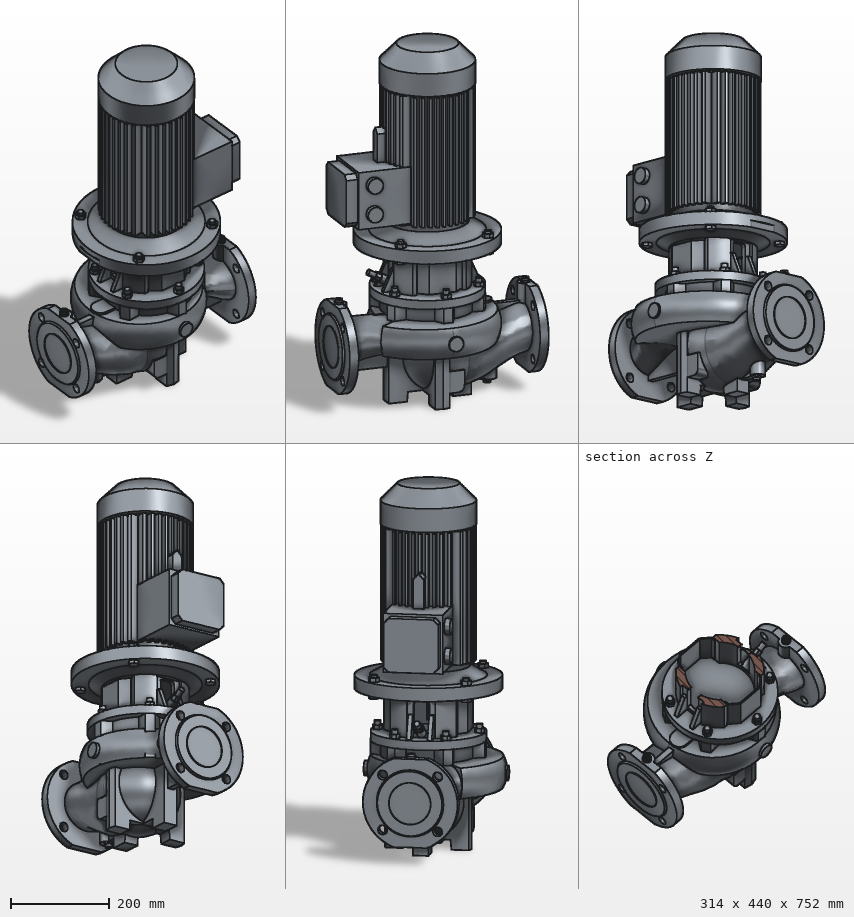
import cadquery as cq
import math


pipe_z = 130.0
volute_bottom_z = 128.0
volute_top_z = 191.5
volute_z = (volute_bottom_z + volute_top_z) / 2
lantern_bottom_z = 223.0
base_top_z = 241.5
lantern_neck_z = 318.0
disc_bottom_z = 329.5
disc_top_z = 357.0
motor_cone_top_z = 377.0
fin_bottom_z = 389.5
fin_top_z = 664.5
cover_bottom_z = 668.5
cover_edge_z = 717.0
total_height = 752.0

suction_face_y = -230.0
discharge_face_y = 210.0
flange_radius = 97.5
flange_half_flat = 91.0
flange_thickness = 19.0
raised_face_height = 4.0
flange_depth = flange_thickness + raised_face_height
raised_face_base_radius = 69.0
raised_face_tip_radius = 66.5
bore_radius = 43.0
bore_depth = 2.0
flange_bolt_circle_radius = 80.0
flange_hole_radius = 9.5
vent_boss_radius = 15.0
vent_boss_inset = 19.0
vent_plug_inset = 17.5

plug_collar_radius = 9.0
plug_collar_height = 4.0
plug_head_radius = 7.5
plug_height = 9.0
plug_socket_radius = 4.0

volute_bulge = 8.0
volute_sectors = [
    (-10.0, -10.0, 136.0, -90.0, 180.0),
    (-10.0, 5.0, 151.0, -180.0, 90.0),
    (5.0, 5.0, 166.0, 127.0, 53.0),
]
side_plug_radius = 15.5
side_plug_left_x = -164.0
side_plug_right_x = 131.0
side_plug_length = 30.0
neck_radius = 97.0
base_radius = 117.5
lug_width = 20.0
lug_root_width = 42.0
lug_root_x = 95.0
stud_count = 6
stud_circle_radius = 105.0
tongue_width = 40.0
tongue_end_y = -138.0
tongue_thickness = 4.5

bowl_radius = 86.0
bowl_y = -25.0
bowl_z = 98.5
bowl_join_y = -60.0
bowl_join_radius = math.sqrt(bowl_radius**2 - (bowl_join_y - bowl_y) ** 2)
suction_sections = [
    (0.0, bowl_join_y, bowl_z, bowl_join_radius, bowl_join_radius),
    (0.0, -100.0, 97.0, 73.0, 67.0),
    (0.0, -145.0, 109.0, 65.0, 57.0),
    (0.0, -180.0, 123.0, 60.0, 54.0),
    (0.0, suction_face_y + flange_depth, 128.0, 55.0, 52.0),
]
discharge_sections = [
    (-45.0, 75.0, volute_z, 95.0, 31.0),
    (-30.0, 120.0, 156.0, 80.0, 35.0),
    (-8.0, 155.0, 146.0, 64.0, 42.0),
    (0.0, discharge_face_y - flange_depth, 134.5, 56.0, 48.0),
]
rib_thickness = 13.0
suction_rib_top_z = 184.0
discharge_web_bottom_z = 76.0
discharge_web_end_y = 60.0

foot_reach = 89.5
foot_width = 31.5
foot_point = 4.0
tunnel_half_width = 50.0
tunnel_top_half_width = 48.0
tunnel_height = 20.5
pad_bottom_z = 31.0
pad_top_z = 77.0
pad_end_y = -47.5
pad_fillet = 13.0
drain_boss_y = -133.5
drain_boss_radius = 15.5
drain_boss_bottom_z = 26.5
drain_plug_y = -129.5
drain_web_start_y = -80.0

barrel_radius = 89.5
barrel_inner_radius = 70.0
barrel_half_width = 68.0
side_window_half_width = 49.0
front_recess_half_width = 29.5
front_recess_y = 78.0
front_window_half_width = 16.5
front_window_bottom_z = 250.0
front_window_top_z = 315.0
front_window_corner = 6.0
disc_radius = 150.0
disc_flat_half_width = 31.0
disc_flat_top_z = 343.5
lower_cone_radius = 115.0
gusset_inner_x = 17.0
gusset_thickness = 9.0
gusset_top_z = 289.0
gusset_foot_y = 106.0
gusset_top_y = 84.5
nut_width = 20.0
nut_height = 8.5
stud_radius = 6.3
stud_top_z = 259.0
flange_screw_circle_radius = 134.0
flange_nut_width = 22.0
flange_screw_height = 13.5
lower_nut_height = 7.0

guard_outer_x = 86.5
guard_flat_half_width = 29.0
guard_bend_x = 69.5
guard_tail_x = 60.0
guard_thickness = 3.0
guard_bottom_z = 245.5
guard_top_z = 314.0

valve_start_y = 72.0
valve_start_z = 248.0
valve_angle = 29.0
valve_body_radius = 9.5
valve_body_length = 36.0
valve_hex_width = 17.0
valve_hex_length = 12.0
valve_tip_radius = 6.0
valve_tip_length = 17.0

motor_core_radius = 84.5
motor_cone_radius = 119.0
fin_radius = 97.0
fin_pitch = 14.2
fin_thickness = 5.5
fins_each_side = 4
cover_radius = 97.5
cover_top_radius = 63.0
lug_half_width = 11.0
lug_end_y = 113.0
lug_ridge_z = 585.5
lug_eaves_z = 574.0

box_half_width = 61.0
box_seat_y = math.sqrt(motor_core_radius**2 - box_half_width**2)
box_end_y = 173.0
box_bottom_z = 392.5
box_top_z = 513.5
lid_half_width = 56.0
lid_end_y = 197.5
lid_bottom_z = 397.0
lid_top_z = 508.0
lid_chamfer = 10.0
gland_radius = 16.3
gland_length = 11.5
gland_y = 140.0
gland_heights = (423.5, 484.5)


def box(x0, x1, y0, y1, z0, z1):
    return cq.Workplane("XY").box(x1 - x0, y1 - y0, z1 - z0, centered=False).translate((x0, y0, z0))


def upright(radius, z0, z1, x=0.0, y=0.0):
    """Cylinder parallel to Z."""
    return cq.Workplane("XY", origin=(x, y, z0)).circle(radius).extrude(z1 - z0)


def hexagon(width, z0, z1, x, y):
    return cq.Workplane("XY", origin=(x, y, z0)).polygon(6, width).extrude(z1 - z0)


def frustum(radius0, radius1, z0, z1):
    outline = [(0, z0), (radius0, z0), (radius1, z1), (0, z1)]
    return cq.Workplane("XZ").polyline(outline).close().revolve(360, (0, 0, 0), (0, 1, 0))


def ring_positions(count, radius, first_angle):
    """Equally spaced points on a circle as (x, y, angle in degrees)."""
    for index in range(count):
        angle = first_angle + index * 360.0 / count
        yield radius * math.cos(math.radians(angle)), radius * math.sin(math.radians(angle)), angle


def screw_plug(x, y, z, direction):
    """Socket plug standing on height z; direction is +1 for up and -1 for down."""
    plane = cq.Workplane("XY", origin=(x, y, z))
    collar = plane.circle(plug_collar_radius).extrude(direction * plug_collar_height)
    head = plane.circle(plug_head_radius).extrude(direction * plug_height)
    socket = plane.workplane(offset=direction * plug_collar_height)
    return collar.union(head).cut(socket.circle(plug_socket_radius).extrude(direction * plug_height))


def pipe_flange(face_y, outward):
    """Flange with its raised face at face_y; outward is the sign of Y it faces."""
    plane = cq.Plane(origin=(0, face_y, pipe_z), xDir=(1, 0, 0), normal=(0, -outward, 0))
    face = cq.Workplane(plane)
    disc = face.workplane(offset=raised_face_height).circle(flange_radius).extrude(flange_thickness)
    disc = disc.intersect(face.rect(2 * flange_radius, 2 * flange_half_flat).extrude(2 * flange_thickness))
    bolt_centres = face.polarArray(flange_bolt_circle_radius, 45, 360, 4)
    disc = disc.cut(bolt_centres.circle(flange_hole_radius).extrude(2 * flange_thickness))
    raised = face.circle(raised_face_tip_radius).workplane(offset=raised_face_height)
    raised = raised.circle(raised_face_base_radius).loft()
    boss_y = face_y - outward * vent_boss_inset
    top_z = pipe_z + flange_half_flat
    flange = disc.union(raised).union(upright(vent_boss_radius, pipe_z, top_z, 0, boss_y))
    flange = flange.cut(face.circle(bore_radius).extrude(bore_depth))
    return flange.union(screw_plug(0, face_y - outward * vent_plug_inset, top_z, 1))


def pipe_loft(sections):
    """Smooth passage through elliptical sections that all face along Y."""
    wires = []
    for x, y, z, half_width, half_height in sections:
        plane = cq.Plane(origin=(x, y, z), xDir=(1, 0, 0), normal=(0, -1, 0))
        wires.append(cq.Workplane(plane).ellipse(half_width, half_height).val())
    return cq.Workplane(cq.Solid.makeLoft(wires))


def volute_sector(x, y, rim_radius, start_angle, swept_angle):
    edge_radius = rim_radius - volute_bulge
    profile = (
        cq.Workplane("XZ")
        .moveTo(0, volute_bottom_z)
        .lineTo(edge_radius, volute_bottom_z)
        .threePointArc((rim_radius, volute_z), (edge_radius, volute_top_z))
        .lineTo(0, volute_top_z)
        .close()
    )
    sector = profile.revolve(swept_angle, (0, 0, 0), (0, 1, 0))
    return sector.rotate((0, 0, 0), (0, 0, 1), start_angle).translate((x, y, 0))


def side_plug(outer_x, inward):
    """Round plug in the volute rim; inward is the sign of X that leads into the rim."""
    face = cq.Workplane("YZ", origin=(outer_x, 0, volute_z))
    return face.circle(side_plug_radius).extrude(inward * side_plug_length)


def make_volute():
    volute = upright(neck_radius, volute_bottom_z, lantern_bottom_z)
    for sector in volute_sectors:
        volute = volute.union(volute_sector(*sector))
    lug_plan = [
        (0, -lug_root_width / 2), (lug_root_x, -lug_root_width / 2), (base_radius, -lug_width / 2),
        (base_radius, lug_width / 2), (lug_root_x, lug_root_width / 2), (0, lug_root_width / 2),
    ]
    lug = cq.Workplane("XY", origin=(0, 0, volute_bottom_z)).polyline(lug_plan).close()
    lug = lug.extrude(lantern_bottom_z - volute_bottom_z)
    for _, _, angle in ring_positions(stud_count, stud_circle_radius, 0):
        volute = volute.union(lug.rotate((0, 0, 0), (0, 0, 1), angle))
    volute = volute.union(side_plug(side_plug_left_x, 1))
    tongue_top_z = volute_top_z + tongue_thickness
    tongue_round_y = tongue_end_y + tongue_width / 2
    tongue = box(-tongue_width / 2, tongue_width / 2, tongue_round_y, 0, volute_z, tongue_top_z)
    tongue = tongue.union(upright(tongue_width / 2, volute_z, tongue_top_z, 0, tongue_round_y))
    return volute.union(tongue)


def make_feet():
    half = foot_width / 2
    shoulder = foot_reach - foot_point
    x_plan = [
        (-foot_reach, 0), (-shoulder, -half), (shoulder, -half),
        (foot_reach, 0), (shoulder, half), (-shoulder, half),
    ]
    feet = cq.Workplane("XY").polyline(x_plan).close().extrude(volute_z)
    feet = feet.union(box(-half, half, -foot_reach, foot_reach, 0, volute_z))
    pads = box(-shoulder, shoulder, pad_end_y, 0, pad_bottom_z, pad_top_z)
    feet = feet.union(pads.edges("<Y and <Z").fillet(pad_fillet))
    tunnel = [
        (-tunnel_half_width, 0), (tunnel_half_width, 0),
        (tunnel_top_half_width, tunnel_height), (-tunnel_top_half_width, tunnel_height),
    ]
    for plane in ("XZ", "YZ"):
        feet = feet.cut(cq.Workplane(plane).polyline(tunnel).close().extrude(foot_width, both=True))
    return feet


def make_drain_boss():
    boss = upright(drain_boss_radius, drain_boss_bottom_z, bowl_z, 0, drain_boss_y)
    web = box(
        -rib_thickness / 2, rib_thickness / 2, drain_boss_y, drain_web_start_y,
        drain_boss_bottom_z, bowl_z,
    )
    return boss.union(web).union(screw_plug(0, drain_plug_y, drain_boss_bottom_z, -1))


def make_casing():
    bowl = cq.Workplane("XY").sphere(bowl_radius).translate((0, bowl_y, bowl_z))
    bowl = bowl.intersect(upright(bowl_radius, 0, volute_z, 0, bowl_y))
    half_rib = rib_thickness / 2
    suction_rib = box(
        -half_rib, half_rib, suction_face_y + flange_depth, bowl_y, pipe_z, suction_rib_top_z,
    )
    discharge_web = box(
        -half_rib, half_rib, discharge_web_end_y, discharge_face_y - flange_depth,
        discharge_web_bottom_z, volute_z,
    )
    casing = make_volute()
    for piece in (
        make_feet(), bowl, pipe_loft(suction_sections), pipe_loft(discharge_sections),
        suction_rib, discharge_web, make_drain_boss(),
        pipe_flange(suction_face_y, -1), pipe_flange(discharge_face_y, 1),
        side_plug(side_plug_right_x, -1),
    ):
        casing = casing.union(piece)
    return casing


def make_vent_valve():
    rise = math.radians(valve_angle)
    axis = (0, math.cos(rise), math.sin(rise))
    base = cq.Workplane(cq.Plane((0, valve_start_y, valve_start_z), (1, 0, 0), axis))
    valve = base.circle(valve_body_radius).extrude(valve_body_length)
    hex_plane = base.workplane(offset=valve_body_length)
    valve = valve.union(hex_plane.polygon(6, valve_hex_width).extrude(valve_hex_length))
    tip_plane = hex_plane.workplane(offset=valve_hex_length)
    return valve.union(tip_plane.circle(valve_tip_radius).extrude(valve_tip_length))


def make_barrel():
    barrel = upright(barrel_radius, base_top_z, lantern_neck_z)
    barrel = barrel.intersect(
        box(-barrel_half_width, barrel_half_width, -barrel_radius, barrel_radius, base_top_z, lantern_neck_z)
    )
    barrel = barrel.cut(upright(barrel_inner_radius, base_top_z, lantern_neck_z))
    side_window = box(
        -barrel_radius, barrel_radius, -side_window_half_width, side_window_half_width,
        base_top_z, lantern_neck_z,
    )
    front_window = box(
        -front_window_half_width, front_window_half_width, -barrel_radius, barrel_radius,
        front_window_bottom_z, front_window_top_z,
    )
    front_window = front_window.edges("|Y and >Z").fillet(front_window_corner)
    barrel = barrel.cut(side_window).cut(front_window)
    for side in (-1, 1):
        y0, y1 = sorted((side * front_recess_y, side * barrel_radius))
        barrel = barrel.cut(
            box(-front_recess_half_width, front_recess_half_width, y0, y1, base_top_z, lantern_neck_z)
        )
    return barrel


def make_gussets():
    """Four triangular ribs that flank the front and back windows."""
    outline = [
        (front_recess_y, base_top_z), (gusset_foot_y, base_top_z),
        (gusset_top_y, gusset_top_z), (front_recess_y, gusset_top_z),
    ]
    rib = cq.Workplane("YZ", origin=(gusset_inner_x, 0, 0)).polyline(outline).close()
    rib = rib.extrude(gusset_thickness)
    pair = rib.union(rib.mirror("YZ"))
    return pair.union(pair.mirror("XZ"))


def make_lantern(valve):
    lantern = upright(base_radius, lantern_bottom_z, base_top_z)
    lantern = lantern.union(make_barrel()).union(make_gussets())
    lantern = lantern.union(frustum(barrel_radius, lower_cone_radius, lantern_neck_z, disc_bottom_z))
    disc = upright(disc_radius, disc_bottom_z, disc_top_z)
    flat_y = math.sqrt(disc_radius**2 - disc_flat_half_width**2)
    disc = disc.cut(
        box(-disc_radius, disc_radius, -disc_radius, -flat_y, disc_bottom_z, disc_flat_top_z)
    )
    lantern = lantern.union(disc)
    for x, y, _ in ring_positions(stud_count, stud_circle_radius, 0):
        lantern = lantern.union(hexagon(nut_width, base_top_z, base_top_z + nut_height, x, y))
        lantern = lantern.union(upright(stud_radius, base_top_z, stud_top_z, x, y))
    for x, y, _ in ring_positions(4, flange_screw_circle_radius, 45):
        lower_z = disc_bottom_z - lower_nut_height
        lantern = lantern.union(hexagon(flange_nut_width, lower_z, disc_bottom_z, x, y))
        lantern = lantern.union(hexagon(flange_nut_width, disc_top_z, disc_top_z + nut_height, x, y))
        lantern = lantern.union(upright(stud_radius, disc_top_z, disc_top_z + flange_screw_height, x, y))
    return lantern.cut(valve)


def make_guard(side):
    """Bent sheet in front of a side window; side is the sign of X."""
    half_path = [
        (guard_outer_x, guard_flat_half_width),
        (guard_bend_x, side_window_half_width),
        (guard_tail_x, side_window_half_width),
    ]
    section = [(x, -y) for x, y in reversed(half_path)] + half_path
    block = cq.Workplane("XY", origin=(0, 0, guard_bottom_z)).polyline(section).close()
    block = block.extrude(guard_top_z - guard_bottom_z)
    guard = block.faces("|Z or <X").shell(-guard_thickness)
    if side < 0:
        guard = guard.mirror("YZ")
    return guard


def make_motor():
    motor = frustum(motor_cone_radius, motor_core_radius, disc_top_z, motor_cone_top_z)
    motor = motor.union(upright(motor_core_radius, motor_cone_top_z, cover_bottom_z))
    fins = None
    for index in range(-fins_each_side, fins_each_side + 1):
        middle = index * fin_pitch
        low = middle - fin_thickness / 2
        high = middle + fin_thickness / 2
        along_x = box(-fin_radius, fin_radius, low, high, fin_bottom_z, fin_top_z)
        along_y = box(low, high, -fin_radius, fin_radius, fin_bottom_z, fin_top_z)
        fins = along_x.union(along_y) if fins is None else fins.union(along_x).union(along_y)
    motor = motor.union(fins.intersect(upright(fin_radius, fin_bottom_z, fin_top_z)))
    roof = [
        (-lug_half_width, box_top_z), (lug_half_width, box_top_z), (lug_half_width, lug_eaves_z),
        (0, lug_ridge_z), (-lug_half_width, lug_eaves_z),
    ]
    lug = cq.Workplane("XZ").polyline(roof).close().extrude(-lug_end_y)
    motor = motor.union(lug)
    return motor.cut(box(-box_half_width, box_half_width, box_seat_y, box_end_y, box_bottom_z, box_top_z))


def make_fan_cover():
    cover = upright(cover_radius, cover_bottom_z, cover_edge_z)
    return cover.union(frustum(cover_radius, cover_top_radius, cover_edge_z, total_height))


def make_terminal_box():
    body = box(-box_half_width, box_half_width, box_seat_y, box_end_y, box_bottom_z, box_top_z)
    lid = box(-lid_half_width, lid_half_width, box_end_y, lid_end_y, lid_bottom_z, lid_top_z)
    body = body.union(lid.edges("|Y").chamfer(lid_chamfer))
    for height in gland_heights:
        gland = cq.Workplane("YZ", origin=(-box_half_width, gland_y, height))
        body = body.union(gland.circle(gland_radius).extrude(-gland_length))
    return body


casing = make_casing()
vent_valve = make_vent_valve()
lantern = make_lantern(vent_valve)
guards = [make_guard(side) for side in (-1, 1)]
motor = make_motor()
fan_cover = make_fan_cover()
terminal_box = make_terminal_box()

result = cq.Compound.makeCompound(
    [
        casing.val(),
        lantern.val(),
        vent_valve.val(),
        *[guard.val() for guard in guards],
        motor.val(),
        fan_cover.val(),
        terminal_box.val(),
    ]
)